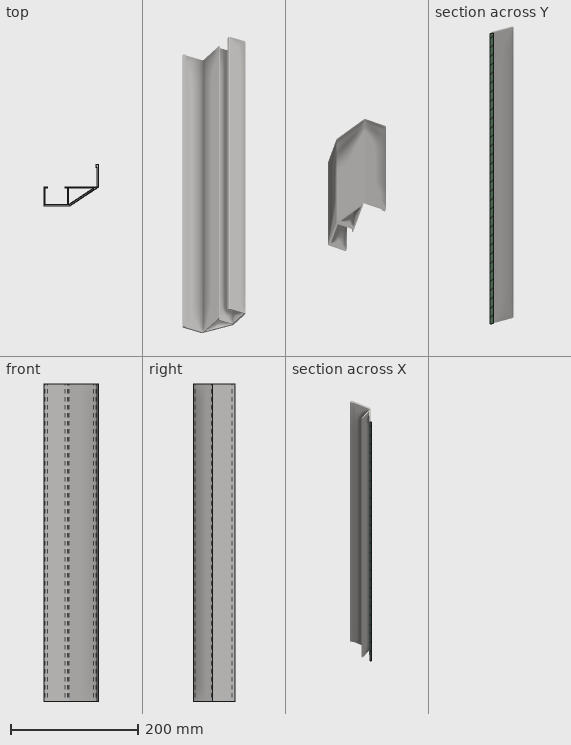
import math

import cadquery as cq

width = 86.3
depth = 66.0
length = 500.0

wall = 1.6
floor_thickness = 3.0
brace_thickness = 2.8
flange_thickness = 3.0

channel_depth = 30.0
left_lip_end = 6.0
right_lip_start = 33.0
web_left = 37.5
web_right = web_left + wall
lip_underside = channel_depth - wall

brace_start = 40.3
brace_end_depth = 30.4
brace_slope = brace_end_depth / (width - brace_start)
brace_rise = brace_thickness * math.sqrt(1 + brace_slope**2)

flange_inside = width - flange_thickness
bead_thickness = 4.5
bead_height = 4.8
bead_inside = width - bead_thickness
bead_underside = depth - bead_height

body_edge_radius = 1.0
brace_bend_radius = 2.0
bead_edge_radius = 0.5


def profile():
    """Solid bounded by the outer outline of the profile, extruded upward."""
    outline = [
        (0, 0),
        (brace_start, 0),
        (width, brace_end_depth),
        (width, depth),
        (bead_inside, depth),
        (bead_inside, bead_underside),
        (flange_inside, bead_underside),
        (flange_inside, channel_depth),
        (right_lip_start, channel_depth),
        (right_lip_start, lip_underside),
        (web_left, lip_underside),
        (web_left, floor_thickness),
        (wall, floor_thickness),
        (wall, lip_underside),
        (left_lip_end, lip_underside),
        (left_lip_end, channel_depth),
        (0, channel_depth),
    ]
    return cq.Workplane("XY").polyline(outline).close().extrude(length)


def brace_inner_x(y):
    """X position on the inner face of the brace at the given Y."""
    return brace_start + (y - brace_rise) / brace_slope


def cavity():
    """Closed chamber between the web, the shelf and the brace."""
    corners = [
        (web_right, floor_thickness),
        (brace_inner_x(floor_thickness), floor_thickness),
        (brace_inner_x(lip_underside), lip_underside),
        (web_right, lip_underside),
    ]
    return cq.Workplane("XY").polyline(corners).close().extrude(length)


def round_edges(body, corners, radius):
    """Round the lengthwise edges that pass through the given plan corners."""
    for x, y in corners:
        edge = cq.selectors.NearestToPointSelector((x, y, length / 2))
        body = body.edges(edge).fillet(radius)
    return body


body_corners = [(0, 0), (0, channel_depth)]
bead_corners = [(width, depth), (bead_inside, depth), (bead_inside, bead_underside)]

result = profile().cut(cavity())
result = round_edges(result, body_corners, body_edge_radius)
result = round_edges(result, [(brace_start, 0)], brace_bend_radius)
result = round_edges(result, bead_corners, bead_edge_radius)